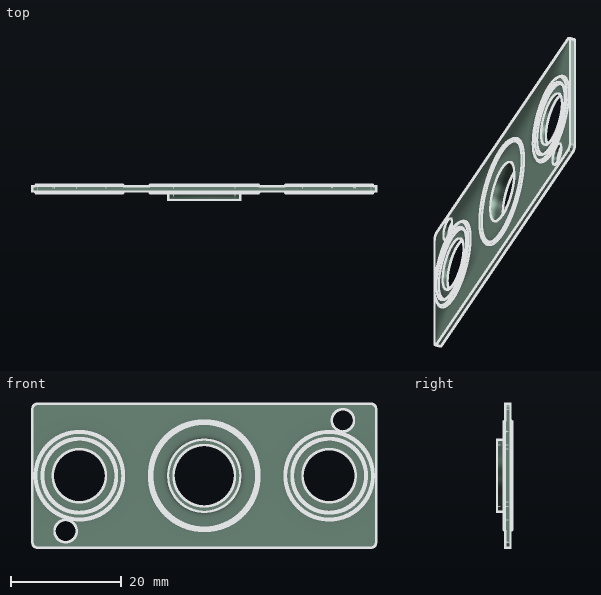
import cadquery as cq

length = 62.0
height = 26.0
thickness = 1.0
total_depth = 2.85
corner_radius = 1.0

ring_height = 0.35
ring_chamfer = 0.3
min_crest_width = 0.05
port_spacing = 22.5
port_bore_radius = 4.8
port_ring_outer = 8.05
port_ring_inner = 6.5
center_ring_outer = 10.0
center_ring_inner = center_ring_outer - 2 * ring_chamfer

hub_radius = 6.5
hub_bore_radius = 5.5
hub_height = total_depth - thickness - ring_height

pin_hole_radius = 2.0
pin_hole_x = 25.0
pin_hole_z = 10.0

front_face = -thickness / 2
overlap = thickness / 4


def cylinder(radius, x, z, y_start, y_end):
    """Cylinder along Y between two Y positions."""
    start = cq.Vector(x, y_start, z)
    return cq.Workplane(cq.Solid.makeCylinder(radius, y_end - y_start, start, cq.Vector(0, 1, 0)))


def raised_ring(outer, inner, x, side):
    """Ring with bevelled edges on the front (side = -1) or back (side = 1) face."""
    root = side * (thickness / 2 - overlap)
    face = side * thickness / 2
    crest = side * (thickness / 2 + ring_height)
    profile = [(inner, root), (inner, face), (inner + ring_chamfer, crest)]
    crest_width = outer - inner - 2 * ring_chamfer
    if crest_width > min_crest_width:
        profile.append((outer - ring_chamfer, crest))
    profile += [(outer, face), (outer, root)]
    ring = cq.Workplane("XY").polyline(profile).close().revolve(360, (0, 0, 0), (0, 1, 0))
    return ring.translate((x, 0, 0))


plate = cq.Workplane("XY").box(length, thickness, height).edges("|Y").fillet(corner_radius)

result = plate
for side in (-1, 1):
    result = result.union(raised_ring(center_ring_outer, center_ring_inner, 0, side))
    for x in (-port_spacing, port_spacing):
        result = result.union(raised_ring(port_ring_outer, port_ring_inner, x, side))

result = result.union(cylinder(hub_radius, 0, 0, front_face - hub_height, front_face + overlap))

holes = [
    (hub_bore_radius, 0, 0),
    (port_bore_radius, -port_spacing, 0),
    (port_bore_radius, port_spacing, 0),
    (pin_hole_radius, -pin_hole_x, -pin_hole_z),
    (pin_hole_radius, pin_hole_x, pin_hole_z),
]
for radius, x, z in holes:
    result = result.cut(cylinder(radius, x, z, front_face - hub_height, thickness))